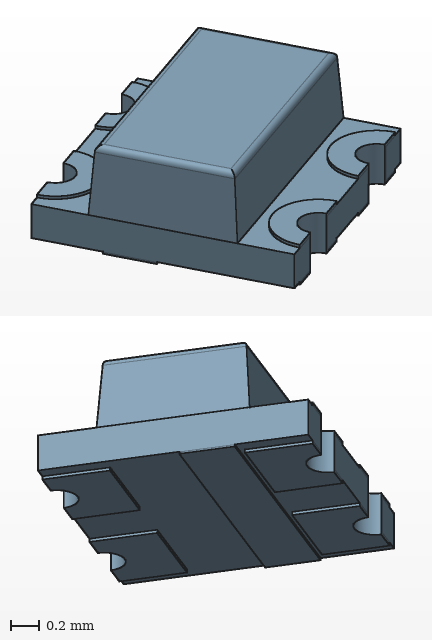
import cadquery as cq

BOARD_WIDTH = 2.0
BOARD_DEPTH = 2.01
BOARD_THICKNESS = 0.273

PAD_THICKNESS = 0.025
PLATING_THICKNESS = 0.02
HOLE_RADIUS = 0.15
TOP_PAD_RADIUS = 0.35
BOTTOM_PAD_LENGTH = 0.5
BOTTOM_PAD_WIDTH = 2 * TOP_PAD_RADIUS
HOLE_Y = 0.55
BARREL_RADIUS = HOLE_RADIUS + PLATING_THICKNESS

STRIP_X_MIN = -0.456
STRIP_X_MAX = -0.046
STRIP_THICKNESS = 0.016

CAP_WIDTH = 1.134
CAP_HEIGHT = 0.543
CAP_DRAFT = 4.0
CAP_EDGE_RADIUS = 0.05

BOARD_BOTTOM = PAD_THICKNESS
BOARD_TOP = BOARD_BOTTOM + BOARD_THICKNESS
PAD_TOP = BOARD_TOP + PAD_THICKNESS

HOLE_PLACES = [
    (side * BOARD_WIDTH / 2, row * HOLE_Y)
    for side in (-1, 1)
    for row in (-1, 1)
]


def block(width, depth, bottom, top):
    """Box centred on the Z axis between two levels."""
    return (
        cq.Workplane("XY")
        .workplane(offset=bottom)
        .rect(width, depth)
        .extrude(top - bottom)
    )


def cylinders(radius, bottom, top):
    """One upright cylinder at each half-hole place."""
    return (
        cq.Workplane("XY")
        .workplane(offset=bottom)
        .pushPoints(HOLE_PLACES)
        .circle(radius)
        .extrude(top - bottom)
    )


def make_pads():
    """Round top pads, hole plating and rectangular bottom pads, trimmed to the board edges."""
    top_pads = cylinders(TOP_PAD_RADIUS, BOARD_TOP, PAD_TOP)
    plating = cylinders(BARREL_RADIUS, BOARD_BOTTOM, BOARD_TOP)
    bottom_pads = (
        cq.Workplane("XY")
        .pushPoints(HOLE_PLACES)
        .rect(2 * BOTTOM_PAD_LENGTH, BOTTOM_PAD_WIDTH)
        .extrude(PAD_THICKNESS)
    )
    inside_board_edges = block(BOARD_WIDTH, BOARD_DEPTH, 0, PAD_TOP)
    pads = top_pads.union(plating).union(bottom_pads)
    return pads.intersect(inside_board_edges).cut(cylinders(HOLE_RADIUS, 0, PAD_TOP))


def make_strip():
    """Thin marking strip across the full depth of the underside."""
    strip_width = STRIP_X_MAX - STRIP_X_MIN
    strip = block(strip_width, BOARD_DEPTH, BOARD_BOTTOM - STRIP_THICKNESS, BOARD_BOTTOM)
    return strip.translate(((STRIP_X_MIN + STRIP_X_MAX) / 2, 0, 0))


def make_board():
    """Board with its pads and marking strip as one solid."""
    substrate = block(BOARD_WIDTH, BOARD_DEPTH, BOARD_BOTTOM, BOARD_TOP)
    substrate = substrate.cut(cylinders(BARREL_RADIUS, BOARD_BOTTOM, BOARD_TOP))
    return substrate.union(make_pads(), clean=False).union(make_strip(), clean=False)


def make_cap():
    """Tapered block over the full depth of the board, with rounded top edges."""
    return (
        cq.Workplane("XY")
        .workplane(offset=BOARD_TOP)
        .rect(CAP_WIDTH, BOARD_DEPTH)
        .extrude(CAP_HEIGHT, taper=CAP_DRAFT)
        .faces(">Z")
        .edges()
        .fillet(CAP_EDGE_RADIUS)
    )


board = make_board()
cap = make_cap()

result = cq.Compound.makeCompound([board.val(), cap.val()])